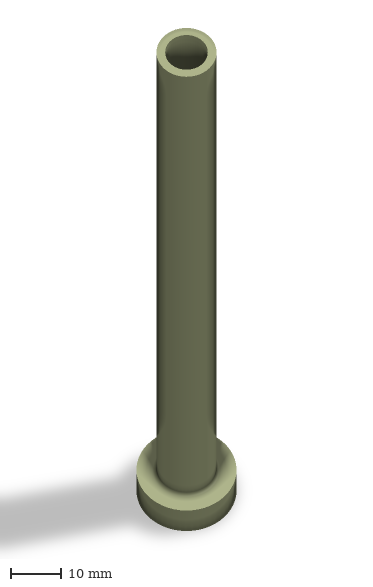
import cadquery as cq
import math

overall_length = 150.0
head_diameter = 20.0
head_height = 7.0
tube_diameter = 12.0
bore_diameter = 8.5
neck_fillet_radius = 0.7

head_radius = head_diameter / 2
tube_radius = tube_diameter / 2
bore_radius = bore_diameter / 2


def wall_section():
    """Half section of the wall in the XZ plane, on the -X side of the axis."""
    fillet_center_x = tube_radius + neck_fillet_radius
    fillet_center_z = head_height + neck_fillet_radius
    diagonal_offset = neck_fillet_radius * math.sqrt(0.5)
    fillet_middle = (-(fillet_center_x - diagonal_offset), fillet_center_z - diagonal_offset)

    return (
        cq.Workplane("XZ")
        .moveTo(-bore_radius, 0)
        .lineTo(-head_radius, 0)
        .lineTo(-head_radius, head_height)
        .lineTo(-fillet_center_x, head_height)
        .threePointArc(fillet_middle, (-tube_radius, fillet_center_z))
        .lineTo(-tube_radius, overall_length)
        .lineTo(-bore_radius, overall_length)
        .close()
    )


result = wall_section().revolve(360, (0, 0), (0, 1))